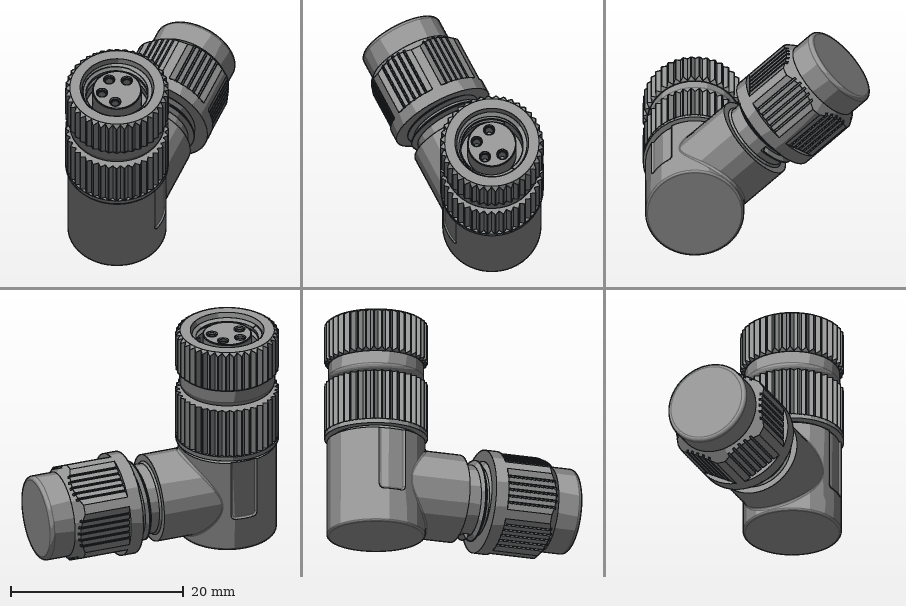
import cadquery as cq
import math


body_radius = 5.7
body_top = 5.72
body_bottom = -5.72
body_edge_radius = 0.25
arm_radius = 5.1
arm_end = 9.73
arm_blend = 0.27

panel_depth = 0.2
panel_width = 3.23
panel_bottom = -1.7
panel_corner = 0.53
panel_floor_fillet = 0.2

collar_neck_radius = 5.05
collar_bottom = 6.17
collar_knurl_bottom = 6.7
collar_top = 12.63
collar_rim_radius = 5.95

nut_neck_radius = 3.6
nut_bottom = 12.93
nut_knurl_bottom = 15.12
nut_top = 20.22
nut_skirt_radius = 5.51
nut_skirt_fillet = 0.7
nut_bevel_width = 0.5
nut_bevel_height = 0.35

knurl_radius = 5.95
knurl_teeth = 40
knurl_crest_width = 0.12

mouth_radius = 4.27
mouth_inner_radius = 4.05
mouth_depth = 0.6
lead_in_angle = 30
socket_radius = 3.62
socket_depth = 3.55
insert_radius = 2.82
insert_recess = 0.45
insert_chamfer = 0.1
contact_circle_radius = 1.78
contact_angles = (73.5, 143.5, -143.5, -73.5)
contact_mouth_radius = 0.65
contact_bevel = 0.12
contact_sleeve_recess = 0.35
contact_hole_radius = 0.45
contact_hole_depth = 1.78

thread_pitch = 1.0
thread_crest_width = 0.12
stem_radius = 4.1
stem_flare = 0.25
stem_thread_crest_radius = 4.68
stem_thread_width = 0.83
stem_thread_start = 11.1
stem_thread_angle = 90
socket_thread_root_radius = 4.03
socket_thread_width = 0.77
socket_thread_angle = 40
socket_thread_runout = 1.27
thread_overlap = 0.1

clamp_radius = 6.005
clamp_start = 12.65
clamp_grip_start = 14.2
clamp_shoulder = 20.73
clamp_tip_radius = 4.95
clamp_end = 23.7
clamp_tip_fillet = 0.45
grip_count = 6
grip_apothem = 5.45
grip_slot_count = 5
grip_slot_spacing = 0.8
grip_slot_width = 0.25
grip_slot_depth = 0.25


def cylinder(radius, bottom, top):
    return cq.Workplane("XY").workplane(offset=bottom).circle(radius).extrude(top - bottom)


def revolve_about_z(points):
    return cq.Workplane("XZ").polyline(points).close().revolve(360, (0, 0, 0), (0, 1, 0))


def lay_along_arm(shape):
    """Turn a shape built along +Z so that it lies along +Y."""
    return shape.rotate((0, 0, 0), (1, 0, 0), -90)


def knurled_prism(bottom, top):
    """Bar with V grooves; a groove root lies on each of the X and Y axes."""
    pitch_angle = 2 * math.pi / knurl_teeth
    half_crest_angle = knurl_crest_width / knurl_radius / 2
    groove_depth = (knurl_radius * pitch_angle - knurl_crest_width) / 2
    root_radius = knurl_radius - groove_depth
    points = []
    for tooth in range(knurl_teeth):
        root = tooth * pitch_angle
        crest = root + pitch_angle / 2
        for radius, angle in (
            (root_radius, root),
            (knurl_radius, crest - half_crest_angle),
            (knurl_radius, crest + half_crest_angle),
        ):
            points.append((radius * math.cos(angle), radius * math.sin(angle)))
    return cq.Workplane("XY").workplane(offset=bottom).polyline(points).close().extrude(top - bottom)


def thread_ridge(base_radius, crest_radius, base_width, start, length, start_angle):
    """Right-handed ridge of trapezoidal section wound around Z from the given angle, measured from +X."""
    path = cq.Wire.makeHelix(thread_pitch, length, base_radius, cq.Vector(0, 0, start))
    profile = (
        cq.Workplane("XZ")
        .moveTo(base_radius, start - base_width / 2)
        .lineTo(crest_radius, start - thread_crest_width / 2)
        .lineTo(crest_radius, start + thread_crest_width / 2)
        .lineTo(base_radius, start + base_width / 2)
        .close()
    )
    ridge = profile.sweep(cq.Workplane(path), isFrenet=True)
    return ridge.rotate((0, 0, 0), (0, 0, 1), start_angle)


def label_panel(side):
    """Shallow recess that follows the round flank on the given side (+1 or -1) of X."""
    height = body_top - panel_bottom
    outline = (
        cq.Workplane("XY")
        .box(body_radius, panel_width, height + panel_corner, centered=(False, True, False))
        .translate((0, 0, panel_bottom))
        .edges("|X and <Z")
        .fillet(panel_corner)
    )
    core = cylinder(body_radius - panel_depth, body_bottom, 2 * body_top)
    recess = outline.cut(core).faces("<X").edges().fillet(panel_floor_fillet)
    return recess if side > 0 else recess.mirror("YZ")


def main_body():
    body = cylinder(body_radius, body_bottom, body_top).faces("<Z").edges().fillet(body_edge_radius)
    arm = lay_along_arm(cylinder(arm_radius, 0, arm_end))
    body = body.union(arm)
    body = body.edges("%BSPLINE").fillet(arm_blend)
    for side in (1, -1):
        body = body.cut(label_panel(side))
    return body


def collar():
    neck = cylinder(collar_neck_radius, body_top, collar_bottom)
    rim = cylinder(collar_rim_radius, collar_bottom, collar_knurl_bottom)
    return neck.union(rim).union(knurled_prism(collar_knurl_bottom, collar_top))


def coupling_nut():
    bevel_radius = knurl_radius - nut_bevel_width
    envelope = revolve_about_z([
        (0, nut_knurl_bottom),
        (bevel_radius, nut_knurl_bottom),
        (knurl_radius, nut_knurl_bottom + nut_bevel_height),
        (knurl_radius, nut_top - nut_bevel_height),
        (bevel_radius, nut_top),
        (0, nut_top),
    ])
    grip = knurled_prism(nut_knurl_bottom, nut_top).intersect(envelope)
    skirt = cylinder(nut_skirt_radius, nut_bottom, nut_knurl_bottom)
    skirt = skirt.faces("<Z").edges().fillet(nut_skirt_fillet)
    neck = cylinder(nut_neck_radius, collar_top, nut_bottom)
    return neck.union(skirt).union(grip).cut(socket()).union(contact_insert())


def socket():
    floor = nut_top - socket_depth
    mouth_floor = nut_top - mouth_depth
    lead_in = (mouth_inner_radius - socket_radius) * math.tan(math.radians(lead_in_angle))
    bore = revolve_about_z([
        (0, floor),
        (socket_radius, floor),
        (socket_radius, mouth_floor - lead_in),
        (mouth_inner_radius, mouth_floor),
        (mouth_radius, nut_top),
        (0, nut_top),
    ])
    thread_start = floor + socket_thread_runout
    thread_length = mouth_floor - thread_start
    thread = thread_ridge(
        socket_radius - thread_overlap, socket_thread_root_radius, socket_thread_width,
        thread_start, thread_length, socket_thread_angle,
    )
    return bore.union(thread)


def contact_insert():
    top = nut_top - insert_recess
    insert = cylinder(insert_radius, nut_top - socket_depth, top).faces(">Z").edges().chamfer(insert_chamfer)
    hole = revolve_about_z([
        (0, top - contact_hole_depth),
        (contact_hole_radius, top - contact_hole_depth),
        (contact_hole_radius, top - contact_sleeve_recess),
        (contact_mouth_radius - contact_bevel, top - contact_sleeve_recess),
        (contact_mouth_radius - contact_bevel, top - contact_bevel),
        (contact_mouth_radius, top),
        (0, top),
    ])
    for angle in contact_angles:
        x = contact_circle_radius * math.cos(math.radians(angle))
        y = contact_circle_radius * math.sin(math.radians(angle))
        insert = insert.cut(hole.translate((x, y, 0)))
    return insert


def threaded_stem():
    stem_end = clamp_start + 2 * thread_pitch
    stem = revolve_about_z([
        (0, arm_end),
        (stem_radius + stem_flare, arm_end),
        (stem_radius, arm_end + stem_flare),
        (stem_radius, stem_end),
        (0, stem_end),
    ])
    thread = thread_ridge(
        stem_radius - thread_overlap, stem_thread_crest_radius, stem_thread_width,
        stem_thread_start, clamp_start + thread_pitch / 2 - stem_thread_start, stem_thread_angle,
    )
    return stem.union(thread)


def grip_flat():
    """Material removed for one flat and its slots, on the +X side of a nut standing along Z."""
    length = clamp_shoulder - clamp_grip_start
    flat = (
        cq.Workplane("XY")
        .box(clamp_radius, 2 * clamp_radius, length, centered=(False, True, False))
        .translate((grip_apothem, 0, clamp_grip_start))
    )
    for index in range(grip_slot_count):
        offset = (index - (grip_slot_count - 1) / 2) * grip_slot_spacing
        slot = (
            cq.Workplane("XY")
            .box(clamp_radius, grip_slot_width, length, centered=(False, True, False))
            .translate((grip_apothem - grip_slot_depth, offset, clamp_grip_start))
        )
        flat = flat.union(slot)
    return flat


def clamping_nut():
    bevel = clamp_radius - clamp_tip_radius
    nut = revolve_about_z([
        (0, clamp_start),
        (clamp_radius, clamp_start),
        (clamp_radius, clamp_shoulder - bevel),
        (clamp_tip_radius, clamp_shoulder),
        (0, clamp_shoulder),
    ])
    cutter = grip_flat()
    for index in range(grip_count):
        nut = nut.cut(cutter.rotate((0, 0, 0), (0, 0, 1), index * 360 / grip_count))
    tip = cylinder(clamp_tip_radius, clamp_shoulder, clamp_end).faces(">Z").edges().fillet(clamp_tip_fillet)
    return nut.union(tip)


arm_assembly = lay_along_arm(threaded_stem().union(clamping_nut()))
result = main_body().union(collar()).union(coupling_nut()).union(arm_assembly)